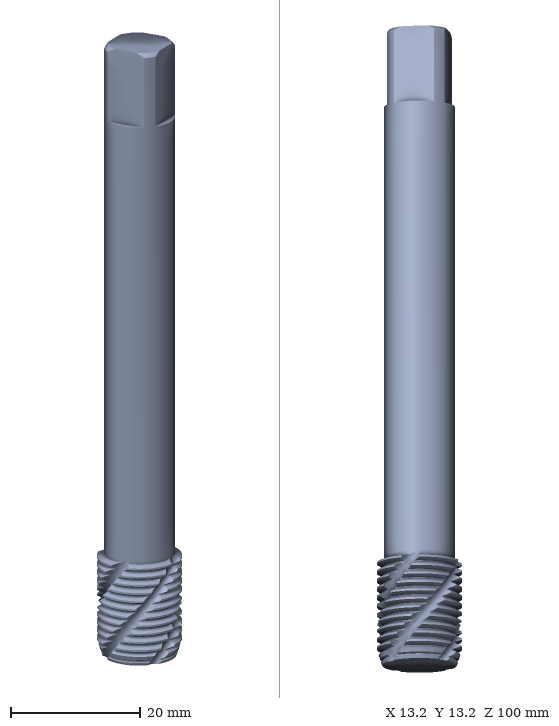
import cadquery as cq

tap_length = 100.0

shank_radius = 5.5
square_width = 9.0
square_length = 12.0
top_chamfer = 0.6

crest_radius = 6.6
root_radius = 5.7
head_length = 16.5
top_crest_z = 16.0
crest_width = 0.3
root_width = 0.2
groove_count = 12
pitch = top_crest_z / groove_count
tip_radius = 5.8
taper_length = 2.5

flute_count = 4
flute_lead = 44.4
flute_radius = 1.5
flute_floor_radius = 5.4
flute_top = 16.7
flute_run_in = 0.5
flute_phase = -131.0


def make_shank():
    """Round shank from the head to the top, squared and chamfered at its end."""
    shank = (
        cq.Workplane("XY", origin=(0, 0, head_length))
        .circle(shank_radius)
        .extrude(tap_length - head_length)
        .faces(">Z")
        .chamfer(top_chamfer)
    )
    clear_width = 3 * shank_radius
    around_square = (
        cq.Workplane("XY", origin=(0, 0, tap_length - square_length))
        .rect(clear_width, clear_width)
        .rect(square_width, square_width)
        .extrude(square_length)
    )
    return shank.cut(around_square)


def make_head_blank():
    """Tapered blank whose top flank leans in to meet the shank."""
    outline = [
        (0, 0),
        (tip_radius, 0),
        (crest_radius, taper_length),
        (crest_radius, top_crest_z + crest_width / 2),
        (shank_radius, head_length),
        (0, head_length),
    ]
    return cq.Workplane("XZ").polyline(outline).close().revolve(360, (0, 0), (0, 1))


def make_thread_groove(middle_z):
    """Ring with a trapezoid section that cuts one groove between two crests."""
    half_mouth = (pitch - crest_width) / 2
    half_root = root_width / 2
    rim = 2 * crest_radius
    outline = [
        (rim, middle_z - half_mouth),
        (crest_radius, middle_z - half_mouth),
        (root_radius, middle_z - half_root),
        (root_radius, middle_z + half_root),
        (crest_radius, middle_z + half_mouth),
        (rim, middle_z + half_mouth),
    ]
    return cq.Workplane("XZ").polyline(outline).close().revolve(360, (0, 0), (0, 1))


def make_flute(angle):
    """Helical round-bottomed cutter that crosses the lower end face at the given angle."""
    height = flute_top + flute_run_in
    twist = 360 * height / flute_lead
    run_in_turn = 360 * flute_run_in / flute_lead
    centre_radius = flute_floor_radius + flute_radius
    return (
        cq.Workplane("XY")
        .pushPoints([(centre_radius, 0)])
        .circle(flute_radius)
        .twistExtrude(height, twist)
        .rotate((0, 0, 0), (0, 0, 1), angle - run_in_turn)
        .translate((0, 0, -flute_run_in))
    )


shank = make_shank()
head = make_head_blank()

for i in range(groove_count):
    head = head.cut(make_thread_groove(top_crest_z - (i + 0.5) * pitch))

for i in range(flute_count):
    flute = make_flute(flute_phase + i * 360 / flute_count)
    head = head.cut(flute)
    shank = shank.cut(flute)

result = cq.Compound.makeCompound([shank.val(), head.val()])